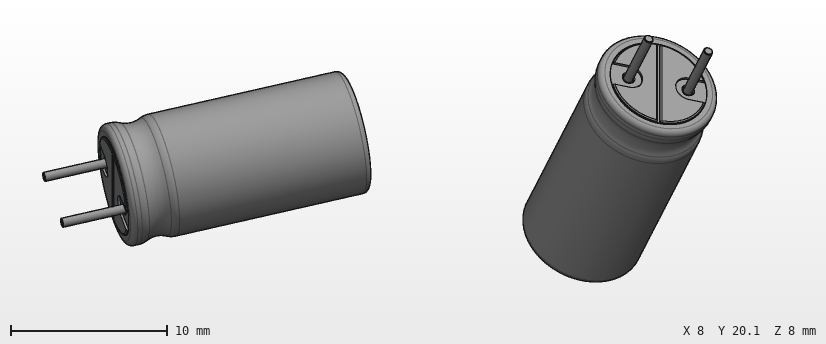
import cadquery as cq
import math


can_diameter = 8.0
can_length = 16.0
can_edge_radius = 0.38

groove_center = 1.93
groove_half_width = 1.25
groove_core_half_width = 0.72
groove_depth = 0.28

seal_diameter = 6.5
seal_setback = 0.06
pad_height = 0.1
pad_clearance = 0.05
pad_gap = 0.16
pad_corner_radius = 0.12
pad_bevel_height = 0.06
pad_bevel_width = 0.1

lead_pitch = 4.0
lead_diameter = 0.6
lead_tip_diameter = 0.5
lead_length = 4.0
recess_diameter = 0.72
recess_mouth_diameter = 0.85
recess_depth = 0.1
notch_width = 1.77

can_radius = can_diameter / 2
seal_radius = seal_diameter / 2
pad_base_radius = seal_radius - pad_clearance
recess_floor = seal_setback + recess_depth
lead_tip = -(pad_height + lead_length)
lead_tip_chamfer = (lead_diameter - lead_tip_diameter) / 2


def cylinder_along_y(diameter, y_start, y_end, x=0):
    """Solid cylinder parallel to Y between two Y positions."""
    return (
        cq.Workplane("XZ", origin=(x, y_start, 0))
        .circle(diameter / 2)
        .extrude(y_start - y_end)
    )


def make_can():
    """Revolved can with rounded ends and the rolled groove."""
    groove_start = groove_center - groove_half_width
    groove_end = groove_center + groove_half_width
    core_start = groove_center - groove_core_half_width
    core_end = groove_center + groove_core_half_width
    core_radius = can_radius - groove_depth * (1 - groove_core_half_width / groove_half_width)
    end_face_radius = can_radius - can_edge_radius
    profile = (
        cq.Workplane("XY")
        .lineTo(end_face_radius, 0)
        .tangentArcPoint((can_radius, can_edge_radius), relative=False)
        .lineTo(can_radius, groove_start)
        .tangentArcPoint((core_radius, core_start), relative=False)
        .threePointArc((can_radius - groove_depth, groove_center), (core_radius, core_end))
        .tangentArcPoint((can_radius, groove_end), relative=False)
        .lineTo(can_radius, can_length - can_edge_radius)
        .tangentArcPoint((end_face_radius, can_length), relative=False)
        .lineTo(0, can_length)
        .close()
    )
    return profile.revolve(360, (0, 0, 0), (0, 1, 0))


def make_pad(side):
    """Half-round pad on the given side of X with bevelled edges, notched around its lead."""
    full_height = seal_setback + pad_height
    arc_end = math.sqrt(pad_base_radius**2 - (pad_gap / 2) ** 2)
    base = (
        cq.Workplane("XZ", origin=(0, seal_setback, 0))
        .moveTo(side * pad_gap / 2, -arc_end)
        .threePointArc((side * pad_base_radius, 0), (side * pad_gap / 2, arc_end))
        .close()
    )
    pad = base.extrude(full_height).edges("|Y").fillet(pad_corner_radius)
    pad = pad.faces("<Y").chamfer(pad_bevel_height, pad_bevel_width)
    lead_x = side * lead_pitch / 2
    notch_end = cylinder_along_y(notch_width, seal_setback, -pad_height, lead_x)
    notch_channel = (
        cq.Workplane("XY")
        .box(seal_radius, 2 * full_height, notch_width)
        .translate((lead_x + side * seal_radius / 2, 0, 0))
    )
    return pad.cut(notch_end).cut(notch_channel)


def make_recess(x):
    """Tapered recess in the seal face around a lead, widest at its mouth."""
    return (
        cq.Workplane("XZ", origin=(x, recess_floor, 0))
        .circle(recess_diameter / 2)
        .workplane(offset=recess_depth)
        .circle(recess_mouth_diameter / 2)
        .loft()
    )


def make_lead(x):
    """Straight lead rooted at the floor of its recess, with a chamfered tip."""
    lead = cylinder_along_y(lead_diameter, recess_floor, lead_tip, x)
    return lead.faces("<Y").chamfer(lead_tip_chamfer)


result = make_can().cut(cylinder_along_y(seal_diameter, 0, seal_setback))
for side in (-1, 1):
    lead_x = side * lead_pitch / 2
    result = result.union(make_pad(side))
    result = result.cut(make_recess(lead_x))
    result = result.union(make_lead(lead_x))